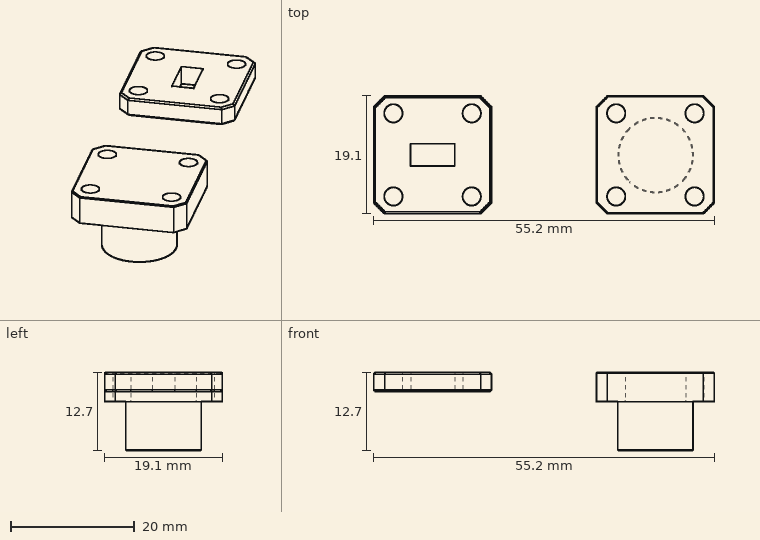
import cadquery as cq

overall_length = 55.15
flange_side = 19.1
flange_offset = (overall_length - flange_side) / 2

corner_cut = 1.75
bolt_spacing_x = 12.7
bolt_spacing_y = 13.45
bolt_hole_diameter = 2.9

window_flange_thickness = 3.15
window_flange_bevel = 0.3
window_length = 7.1
window_width = 3.6

boss_flange_thickness = 4.75
boss_flange_bevel = 0.15
boss_diameter = 12.25
boss_bevel = 0.15
overall_height = 12.7
boss_length = overall_height - boss_flange_thickness


def flange_plate(thickness):
    """Square plate with cut corners, centred in X and Y, with its top face at Z = 0."""
    return (
        cq.Workplane("XY")
        .box(flange_side, flange_side, thickness, centered=(True, True, False))
        .translate((0, 0, -thickness))
        .edges("|Z")
        .chamfer(corner_cut)
    )


def drill_bolt_holes(plate):
    """Drill the four through holes from the top face."""
    return (
        plate.faces(">Z")
        .workplane(origin=(0, 0, 0))
        .rarray(bolt_spacing_x, bolt_spacing_y, 2, 2)
        .hole(bolt_hole_diameter)
    )


def make_window_flange():
    """Plate beveled on both faces, with a through window in the middle."""
    plate = flange_plate(window_flange_thickness)
    plate = plate.faces("<Z or >Z").edges().chamfer(window_flange_bevel)
    plate = drill_bolt_holes(plate)
    window = cq.Workplane("XY").rect(window_length, window_width).extrude(-window_flange_thickness)
    return plate.cut(window)


def make_boss_flange():
    """Plate beveled on its top face, with a round boss on its underside."""
    plate = flange_plate(boss_flange_thickness)
    plate = plate.faces(">Z").edges().chamfer(boss_flange_bevel)
    plate = drill_bolt_holes(plate)
    boss = (
        cq.Workplane("XY", origin=(0, 0, -boss_flange_thickness))
        .circle(boss_diameter / 2)
        .extrude(-boss_length)
        .faces("<Z")
        .edges()
        .chamfer(boss_bevel)
    )
    return plate.union(boss)


window_flange = make_window_flange().translate((-flange_offset, 0, 0))
boss_flange = make_boss_flange().translate((flange_offset, 0, 0))

result = cq.Compound.makeCompound([window_flange.val(), boss_flange.val()])